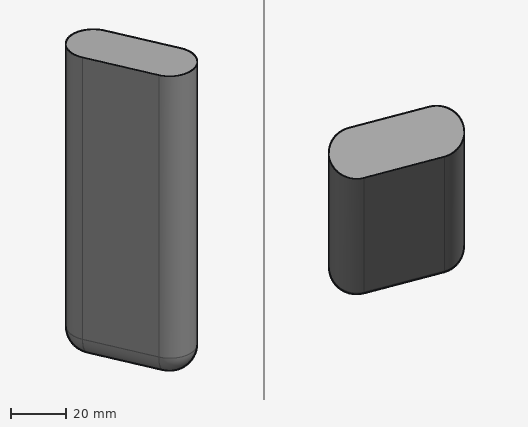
import cadquery as cq
import math

height = 130.0
width = 50.0
thickness = 20.0

radius = thickness / 2
center_spacing = width - thickness


def upright_body():
    """Bar with a stadium cross-section, from the rounded end up to the flat top."""
    return (
        cq.Workplane("XY")
        .workplane(offset=radius)
        .slot2D(width, thickness)
        .extrude(height - radius)
    )


def rounded_end():
    """Lower half of a horizontal round bar with a ball at each end."""
    diagonal = radius * math.sqrt(0.5)
    half_spacing = center_spacing / 2
    half_outline = (
        cq.Workplane("XY", origin=(0, 0, radius))
        .moveTo(-width / 2, 0)
        .threePointArc((-half_spacing - diagonal, diagonal), (-half_spacing, radius))
        .lineTo(half_spacing, radius)
        .threePointArc((half_spacing + diagonal, diagonal), (width / 2, 0))
        .close()
    )
    return half_outline.revolve(180, (0, 0, 0), (-1, 0, 0))


result = upright_body().union(rounded_end())